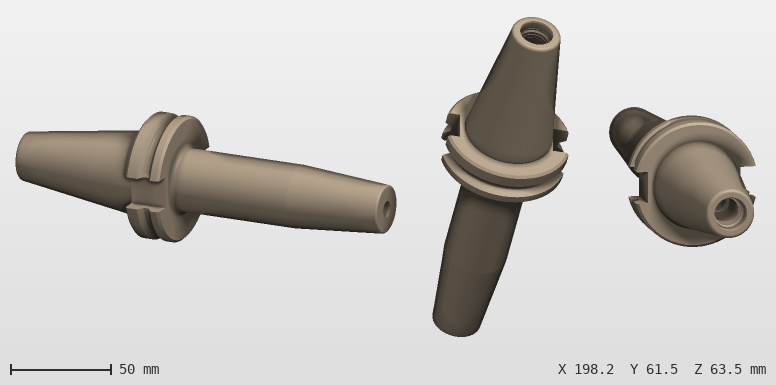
import cadquery as cq
import math

TOTAL_LENGTH = 198.2
GAUGE_X = 68.4
FLANGE_START_X = 69.0
FLANGE_END_X = 87.5
GROOVE_X = 79.2
NOSE_START_X = 150.5

TAPER_RATIO = 7 / 24
GAUGE_DIAMETER = 44.5
TAPER_END_FILLET = 1.8

FLANGE_DIAMETER = 63.5
FLANGE_CHAMFER = 1.2
GROOVE_DEPTH = 3.5
GROOVE_WIDTH = 7.1
GROOVE_HALF_ANGLE = 32.0
GROOVE_FILLET = 0.8
SLOT_WIDTH = 16.0
SLOT_FLOOR_FRONT = 22.6
SLOT_FLOOR_BACK = 24.8

NECK_DIAMETER = 32.0
NECK_FILLET_RADIUS = 2.8
NOSE_ANGLE = 4.5
NOSE_END_FILLET = 1.0

ENTRY_DIAMETER = 16.9
RECESS_DIAMETER = 16.3
ENTRY_CHAMFER_LENGTH = 0.8
RECESS_DEPTH = 4.8
RELIEF_DIAMETER = 15.9
RELIEF_DEPTH = 5.5
THREAD_CONE_LENGTH = 0.5
BORE_STEPS = [(14.0, 7.5), (13.0, 9.1), (12.7, 27.8)]
THROUGH_CHAMFER_DIAMETER = 10.0
THROUGH_DIAMETER = 8.5


def revolve_about_x(profile):
    return profile.close().revolve(360, (0, 0, 0), (1, 0, 0))


def make_body():
    gauge_r = GAUGE_DIAMETER / 2
    taper_end_r = gauge_r - GAUGE_X * TAPER_RATIO / 2
    flange_r = FLANGE_DIAMETER / 2
    neck_r = NECK_DIAMETER / 2
    nose_length = TOTAL_LENGTH - NOSE_START_X
    nose_end_r = neck_r - nose_length * math.tan(math.radians(NOSE_ANGLE))

    profile = (
        cq.Workplane("XY")
        .lineTo(0, taper_end_r)
        .lineTo(GAUGE_X, gauge_r)
        .lineTo(FLANGE_START_X, gauge_r)
        .lineTo(FLANGE_START_X, flange_r - FLANGE_CHAMFER)
        .lineTo(FLANGE_START_X + FLANGE_CHAMFER, flange_r)
        .lineTo(FLANGE_END_X - FLANGE_CHAMFER, flange_r)
        .lineTo(FLANGE_END_X, flange_r - FLANGE_CHAMFER)
        .lineTo(FLANGE_END_X, neck_r + NECK_FILLET_RADIUS)
        .radiusArc((FLANGE_END_X + NECK_FILLET_RADIUS, neck_r), -NECK_FILLET_RADIUS)
        .lineTo(NOSE_START_X, neck_r)
        .lineTo(TOTAL_LENGTH, nose_end_r)
        .lineTo(TOTAL_LENGTH, 0)
    )
    body = revolve_about_x(profile)
    body = body.faces("<X").edges().fillet(TAPER_END_FILLET)
    return body.faces(">X").edges().fillet(NOSE_END_FILLET)


def make_groove():
    rim_r = FLANGE_DIAMETER / 2
    floor_r = rim_r - GROOVE_DEPTH
    half_rim = GROOVE_WIDTH / 2
    half_floor = half_rim - GROOVE_DEPTH * math.tan(math.radians(GROOVE_HALF_ANGLE))
    ring_r = rim_r + GROOVE_DEPTH
    profile = (
        cq.Workplane("XY")
        .moveTo(GROOVE_X - half_rim, ring_r)
        .lineTo(GROOVE_X - half_rim, rim_r)
        .lineTo(GROOVE_X - half_floor, floor_r)
        .lineTo(GROOVE_X + half_floor, floor_r)
        .lineTo(GROOVE_X + half_rim, rim_r)
        .lineTo(GROOVE_X + half_rim, ring_r)
    )
    ring = revolve_about_x(profile)
    floor_edges = ring.edges(cq.selectors.RadiusNthSelector(0))
    return floor_edges.fillet(GROOVE_FILLET)


def make_drive_slot(side, floor):
    """Box cutting one drive slot; side is -1 for -Y and +1 for +Y."""
    length = FLANGE_END_X - FLANGE_START_X
    depth = FLANGE_DIAMETER - floor
    center = ((FLANGE_START_X + FLANGE_END_X) / 2, side * (floor + depth / 2), 0)
    return cq.Workplane("XY").box(length, depth, SLOT_WIDTH).translate(center)


def make_bore():
    profile = (
        cq.Workplane("XY")
        .lineTo(0, ENTRY_DIAMETER / 2)
        .lineTo(ENTRY_CHAMFER_LENGTH, RECESS_DIAMETER / 2)
        .lineTo(RECESS_DEPTH, RECESS_DIAMETER / 2)
        .lineTo(RECESS_DEPTH, RELIEF_DIAMETER / 2)
        .lineTo(RELIEF_DEPTH, RELIEF_DIAMETER / 2)
    )
    depth = RELIEF_DEPTH + THREAD_CONE_LENGTH
    for diameter, next_depth in BORE_STEPS:
        profile = profile.lineTo(depth, diameter / 2).lineTo(next_depth, diameter / 2)
        depth = next_depth
    chamfer = (THROUGH_CHAMFER_DIAMETER - THROUGH_DIAMETER) / 2
    profile = (
        profile.lineTo(depth, THROUGH_CHAMFER_DIAMETER / 2)
        .lineTo(depth + chamfer, THROUGH_DIAMETER / 2)
        .lineTo(TOTAL_LENGTH, THROUGH_DIAMETER / 2)
        .lineTo(TOTAL_LENGTH, 0)
    )
    return revolve_about_x(profile)


result = (
    make_body()
    .cut(make_groove())
    .cut(make_drive_slot(-1, SLOT_FLOOR_FRONT))
    .cut(make_drive_slot(1, SLOT_FLOOR_BACK))
    .cut(make_bore())
)